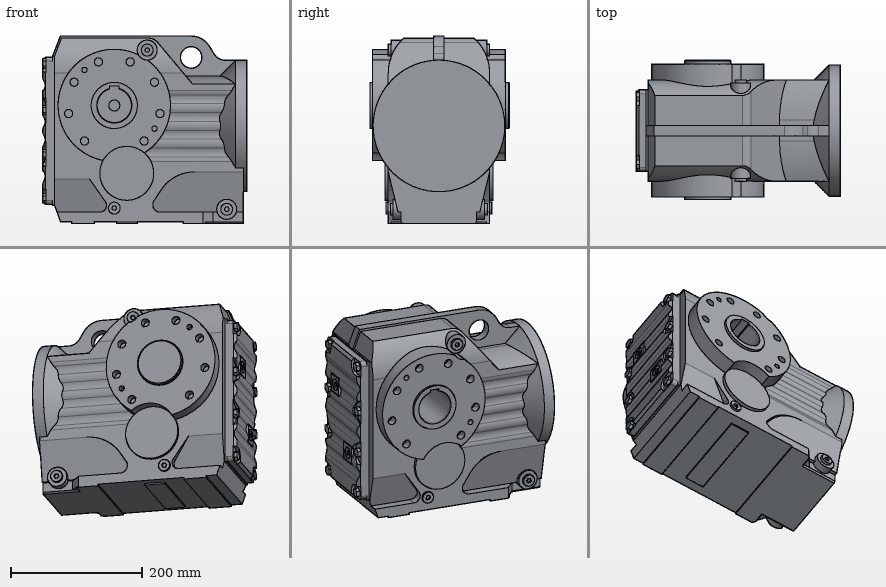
import cadquery as cq
import math


SIDE_Y = 77.3
LEFT_X = -91.0
RIGHT_X = 197.0
BASE_Z = -177.5
ROOF_Z = 102.5
ROOF_LEFT_X = -80.7
LEFT_WALL_TOP_Z = 75.5
LEFT_WALL_BOTTOM_Z = -152.5
BASE_LEFT_X = -82.0
ROOF_HALF_Y = 53.5
SHOULDER_Z = 49.5
ROOF_RIGHT_X = 60.7
ROOF_BEND_R = 17.5
ROOF_SLOPE = 50.0
NECK_START_X = 31.0
NECK_TOP_Z = 44.5
NECK_EDGE_Z = 32.5
NECK_FLAT_Y = 16.0

WEB_HALF_Y = 8.0
WEB_TOP_Z = 106.0
WEB_LEFT_X = -94.0
WEB_TOP_LEFT_X = -82.2
WEB_FOOT_Z = 0.0
EYE_X, EYE_Z, EYE_R = 117.0, 73.2, 16.2
EYE_OUTER_R = WEB_TOP_Z - EYE_Z
EYE_SLOPE = 59.0
WEB_CORNER_R = 20.0

INPUT_Z = -31.0
FLANGE_R = 100.3
FLANGE_X = 185.0
FLANGE_END_X = 202.2
CONE_SMALL_R = 68.5

DISC_R = 85.7
DISC_Y = 101.2
BOLT_CIRCLE_R = 70.7
BOLT_HOLE_R, BOLT_HOLE_DEPTH = 6.2, 15.5
BOLT_COUNT = 8
BOLT_SPACING = 360 / (BOLT_COUNT + 1)
BOLT_START_ANGLE = -90 + BOLT_SPACING
PIN_HOLE_R, PIN_HOLE_DEPTH = 4.0, 12.5
PIN_ANGLES = (130, 330)
SHAFT_R = 35.2
SHAFT_FRONT_Y = -105.3
SHAFT_BACK_Y = 107.8
SHAFT_CHAMFER = 1.5
BORE_R = 26.2
BORE_MOUTH_R, BORE_MOUTH_DEPTH = 26.8, 2.2
BORE_END_Y = 93.5
CENTRE_HOLE_R, CENTRE_HOLE_DEPTH = 8.5, 6.2
KEY_WIDTH, KEY_TOP_Z = 14.0, 29.3
CAP_X, CAP_Z, CAP_R, CAP_Y = 19.0, -103.5, 41.0, 82.5

PLUG_R, SOCKET_R, SOCKET_DEPTH = 9.0, 3.7, 3.0
PLUG_SEAT_R = 15.3
PLUG_HEIGHT = 4.5
SEATED_PLUGS = ((50.0, 84.5, 73.0), (171.3, -158.2, 69.8))
DRAIN_PLUG = (0.0, -156.5)
DRAIN_PLUG_Y = 80.7

POCKET_FLOOR_Y = 62.3
POCKET_BOTTOM_Z = -162.5
LEFT_POCKET_CORNER_R = 10.3
RIGHT_POCKET_CORNER_R = 11.2
LEFT_POCKET_TOP_Z = -112.0
LEFT_POCKET_TOP_X = -37.7
LEFT_POCKET_TIP_X = -2.5
RIGHT_POCKET_TOP_Z = -101.2
RIGHT_POCKET_TOP_X = 89.0
RIGHT_POCKET_TIP_X = 49.2
RIGHT_POCKET_TOP_R = 61.0
FOOT_Z = -180.0
LEFT_FOOT = (-65.0, -30.2)
MIDDLE_FOOT = (3.7, 35.2)
RIGHT_FOOT_X = 105.0
MIDDLE_FOOT_HALF_Y = 62.3
FOOT_NOTCH_START_X = 135.2
FOOT_NOTCH_FULL_X = 150.0
FOOT_NOTCH_Y = 57.5
FOOT_BEVEL_X = 139.0

NECK_WAVES, NECK_WAVE_PITCH, NECK_WAVE_DEPTH = 4, 27.0, 2.8
NECK_WAVE_START_X = 18.7
COVER_WAVES, COVER_WAVE_PITCH, COVER_WAVE_DEPTH = 6, 27.7, 3.7

COVER_Z = -38.5
COVER_FACE_X = -109.3
COVER_BACK_X = WEB_LEFT_X
COVER_HALF_Y, COVER_HALF_Z = 62.3, 112.5
COVER_CORNER_R = 6.2
COVER_BEVEL = 4.5
GASKET_HALF_Z = 114.0
BOLT_SEAT_X = -104.0
BOLT_SEAT_R = 13.0
BOLT_HEX_R = 7.5
CORNER_BOLT_Y, CORNER_BOLT_Z = 51.5, 102.8
BACK_MIDDLE_BOLT_Y, FRONT_MIDDLE_BOLT_Y = 54.2, -55.8
MIDDLE_BOLT_Z = (-7.2, -74.5)
SEAT_FLARE = 30.0
COVER_PLUGS = ((23.5, 8.7), (-23.7, -86.0))
COVER_PAD_SIZE = 28.5
COVER_PLUG_DROP = 0.47

CLEAR = 15.5


def box(x, y, z):
    """Box spanning the three (low, high) ranges."""
    size = (x[1] - x[0], y[1] - y[0], z[1] - z[0])
    return cq.Workplane("XY").box(*size, centered=False).translate((x[0], y[0], z[0]))


def rod_y(x, z, radius, y0, y1):
    """Cylinder along Y."""
    return cq.Workplane("XZ", origin=(x, y0, z)).circle(radius).extrude(y0 - y1)


def rod_x(y, z, radius, x0, x1):
    """Cylinder along X."""
    return cq.Workplane("YZ", origin=(x0, y, z)).circle(radius).extrude(x1 - x0)


def hex_x(y, z, radius, x0, x1):
    """Hexagonal prism along X with a corner pointing up."""
    hexagon = cq.Workplane("YZ", origin=(x0, y, z)).polygon(6, 2 * radius)
    return hexagon.extrude(x1 - x0).rotate((0, y, z), (1, y, z), 90)


def with_mirror(shape):
    """The shape on the -Y side together with its copy on the +Y side."""
    return shape.union(shape.mirror("XZ"))


def wave_tool(plane, waves, pitch, depth, length):
    """Prism filling the grooves below a line of peaks.

    Local X of the plane points into the material and local Y runs up along the row of waves.
    """
    tool = cq.Workplane(plane).moveTo(0, 0)
    quarter = pitch / 4
    half_depth = depth / 2
    radius = (quarter ** 2 + half_depth ** 2) / depth
    middle = quarter / 2
    bulge = radius - math.sqrt(radius ** 2 - middle ** 2)
    for i in range(waves):
        start = i * pitch
        valley = start + 2 * quarter
        end = start + pitch
        tool = tool.threePointArc((bulge, start + middle), (half_depth, start + quarter))
        tool = tool.threePointArc((depth, valley), (half_depth, end - quarter))
        tool = tool.threePointArc((bulge, end - middle), (0, end))
    return tool.lineTo(-CLEAR, waves * pitch).lineTo(-CLEAR, 0).close().extrude(length)


def make_main_body():
    """Housing with a sloping roof and rounded shoulders."""
    slope_end_x = ROOF_RIGHT_X + (ROOF_Z - NECK_EDGE_Z) / math.tan(math.radians(ROOF_SLOPE))
    profile = (
        cq.Workplane("XZ", origin=(0, SIDE_Y, 0))
        .moveTo(BASE_LEFT_X, BASE_Z)
        .lineTo(LEFT_X, LEFT_WALL_BOTTOM_Z)
        .lineTo(LEFT_X, LEFT_WALL_TOP_Z)
        .lineTo(ROOF_LEFT_X, ROOF_Z)
        .lineTo(ROOF_RIGHT_X, ROOF_Z)
        .lineTo(slope_end_x, NECK_EDGE_Z)
        .lineTo(slope_end_x, BASE_Z)
        .close()
        .extrude(2 * SIDE_Y)
        .edges(cq.selectors.NearestToPointSelector((ROOF_RIGHT_X, 0, ROOF_Z)))
        .fillet(ROOF_BEND_R)
    )
    run = SIDE_Y - ROOF_HALF_Y
    rise = ROOF_Z - SHOULDER_Z
    shoulder_r = (run ** 2 + rise ** 2) / (2 * run)
    half_angle = math.asin(rise / shoulder_r) / 2
    mid_y = SIDE_Y - shoulder_r * (1 - math.cos(half_angle))
    mid_z = SHOULDER_Z + shoulder_r * math.sin(half_angle)
    section = (
        cq.Workplane("YZ", origin=(LEFT_X, 0, 0))
        .moveTo(-SIDE_Y, BASE_Z)
        .lineTo(-SIDE_Y, SHOULDER_Z)
        .threePointArc((-mid_y, mid_z), (-ROOF_HALF_Y, ROOF_Z))
        .lineTo(ROOF_HALF_Y, ROOF_Z)
        .threePointArc((mid_y, mid_z), (SIDE_Y, SHOULDER_Z))
        .lineTo(SIDE_Y, BASE_Z)
        .close()
        .extrude(RIGHT_X - LEFT_X)
    )
    return profile.intersect(section)


def make_neck():
    """Part of the housing leading to the input flange, with a slightly arched top."""
    run = SIDE_Y - NECK_FLAT_Y
    drop = NECK_TOP_Z - NECK_EDGE_Z
    arch_r = (run ** 2 + drop ** 2) / (2 * drop)
    mid_y = NECK_FLAT_Y + run / 2
    mid_z = NECK_TOP_Z - arch_r + math.sqrt(arch_r ** 2 - (run / 2) ** 2)
    return (
        cq.Workplane("YZ", origin=(NECK_START_X, 0, 0))
        .moveTo(-SIDE_Y, BASE_Z)
        .lineTo(-SIDE_Y, NECK_EDGE_Z)
        .threePointArc((-mid_y, mid_z), (-NECK_FLAT_Y, NECK_TOP_Z))
        .lineTo(NECK_FLAT_Y, NECK_TOP_Z)
        .threePointArc((mid_y, mid_z), (SIDE_Y, NECK_EDGE_Z))
        .lineTo(SIDE_Y, BASE_Z)
        .close()
        .extrude(RIGHT_X - NECK_START_X)
    )


def make_neck_grooves():
    """Grooves that leave wavy ribs on both sides of the neck."""
    bottom_z = INPUT_Z - NECK_WAVES * NECK_WAVE_PITCH / 2
    side = cq.Plane(origin=(NECK_WAVE_START_X, -SIDE_Y, bottom_z), xDir=(0, 1, 0), normal=(1, 0, 0))
    length = FLANGE_X - NECK_WAVE_START_X
    return with_mirror(wave_tool(side, NECK_WAVES, NECK_WAVE_PITCH, NECK_WAVE_DEPTH, length))


def make_web():
    """Central web with the lifting eye."""
    slope = math.radians(EYE_SLOPE)
    flange_top_z = INPUT_Z + FLANGE_R
    arc_mid = (EYE_X + EYE_OUTER_R * math.sin(slope / 2), EYE_Z + EYE_OUTER_R * math.cos(slope / 2))
    arc_end = (EYE_X + EYE_OUTER_R * math.sin(slope), EYE_Z + EYE_OUTER_R * math.cos(slope))
    corner_z = flange_top_z + WEB_CORNER_R
    slope_end_z = corner_z - WEB_CORNER_R * math.cos(slope)
    slope_end_x = arc_end[0] + (arc_end[1] - slope_end_z) / math.tan(slope)
    corner_x = slope_end_x + WEB_CORNER_R * math.sin(slope)
    corner_mid = (
        corner_x - WEB_CORNER_R * math.sin(slope / 2),
        corner_z - WEB_CORNER_R * math.cos(slope / 2),
    )
    web = (
        cq.Workplane("XZ", origin=(0, WEB_HALF_Y, 0))
        .moveTo(WEB_LEFT_X, WEB_FOOT_Z)
        .lineTo(WEB_LEFT_X, LEFT_WALL_TOP_Z)
        .lineTo(WEB_TOP_LEFT_X, WEB_TOP_Z)
        .lineTo(EYE_X, WEB_TOP_Z)
        .threePointArc(arc_mid, arc_end)
        .lineTo(slope_end_x, slope_end_z)
        .threePointArc(corner_mid, (corner_x, flange_top_z))
        .lineTo(FLANGE_X, flange_top_z)
        .lineTo(FLANGE_X, WEB_FOOT_Z)
        .close()
        .extrude(2 * WEB_HALF_Y)
    )
    return web.cut(rod_y(EYE_X, EYE_Z, EYE_R, -CLEAR, CLEAR))


def make_input_flange():
    """Round flange with a 45 degree cone behind it."""
    flange = rod_x(0, INPUT_Z, FLANGE_R, FLANGE_X, FLANGE_END_X)
    cone_length = FLANGE_R - CONE_SMALL_R
    cone = cq.Solid.makeCone(
        CONE_SMALL_R, FLANGE_R, cone_length,
        pnt=cq.Vector(FLANGE_X - cone_length, 0, INPUT_Z), dir=cq.Vector(1, 0, 0),
    )
    return flange.union(cq.Workplane(obj=cone))


def make_pocket(outline, corner_radii, top_z):
    """Pocket in the -Y side face whose floor leans inwards from the top edge to the bottom."""
    prism = cq.Workplane("XZ", origin=(0, -POCKET_FLOOR_Y, 0)).polyline(outline).close().extrude(SIDE_Y)
    for (x, z), radius in corner_radii:
        corner = cq.selectors.NearestToPointSelector((x, -POCKET_FLOOR_Y - SIDE_Y / 2, z))
        prism = prism.edges(corner).fillet(radius)
    lean = (
        cq.Workplane("YZ", origin=(LEFT_X, 0, 0))
        .polyline([
            (-SIDE_Y, top_z),
            (-POCKET_FLOOR_Y, POCKET_BOTTOM_Z),
            (-SIDE_Y - CLEAR, POCKET_BOTTOM_Z),
            (-SIDE_Y - CLEAR, top_z),
        ])
        .close()
        .extrude(RIGHT_X - LEFT_X)
    )
    return prism.intersect(lean)


def make_pockets():
    """Left and right pockets on both side faces."""
    left_tip = (LEFT_POCKET_TIP_X, POCKET_BOTTOM_Z)
    left = make_pocket(
        [
            (LEFT_X, LEFT_POCKET_TOP_Z),
            (LEFT_POCKET_TOP_X, LEFT_POCKET_TOP_Z),
            left_tip,
            (LEFT_X, POCKET_BOTTOM_Z),
        ],
        [(left_tip, LEFT_POCKET_CORNER_R)],
        LEFT_POCKET_TOP_Z,
    )
    right_tip = (RIGHT_POCKET_TIP_X, POCKET_BOTTOM_Z)
    right_top = (RIGHT_POCKET_TOP_X, RIGHT_POCKET_TOP_Z)
    right = make_pocket(
        [
            (RIGHT_X, RIGHT_POCKET_TOP_Z),
            right_top,
            right_tip,
            (RIGHT_X, POCKET_BOTTOM_Z),
        ],
        [(right_tip, RIGHT_POCKET_CORNER_R), (right_top, RIGHT_POCKET_TOP_R)],
        RIGHT_POCKET_TOP_Z,
    )
    return with_mirror(left.union(right))


def make_feet():
    """Low pads under the housing."""
    full_width = (-SIDE_Y, SIDE_Y)
    height = (FOOT_Z, BASE_Z)
    feet = box(LEFT_FOOT, full_width, height)
    feet = feet.union(box(MIDDLE_FOOT, (-MIDDLE_FOOT_HALF_Y, MIDDLE_FOOT_HALF_Y), height))
    return feet.union(box((RIGHT_FOOT_X, RIGHT_X), full_width, height))


def make_foot_notches():
    """Set-back of the right foot below the pocket, and the bevel along its lower edge."""
    notch = (
        cq.Workplane("XY", origin=(0, 0, FOOT_Z))
        .polyline([
            (FOOT_NOTCH_START_X, -SIDE_Y),
            (FOOT_NOTCH_FULL_X, -FOOT_NOTCH_Y),
            (RIGHT_X, -FOOT_NOTCH_Y),
            (RIGHT_X, -SIDE_Y),
        ])
        .close()
        .extrude(POCKET_BOTTOM_Z - FOOT_Z)
    )
    foot_height = BASE_Z - FOOT_Z
    bevel = (
        cq.Workplane("YZ", origin=(FOOT_BEVEL_X, 0, 0))
        .polyline([
            (-SIDE_Y, BASE_Z),
            (-FOOT_NOTCH_Y, BASE_Z),
            (-FOOT_NOTCH_Y + foot_height, FOOT_Z),
            (-SIDE_Y, FOOT_Z),
        ])
        .close()
        .extrude(RIGHT_X - FOOT_BEVEL_X)
    )
    return with_mirror(notch.union(bevel))


def on_bolt_circle(degrees):
    """Point (x, z) on the bolt circle."""
    angle = math.radians(degrees)
    return BOLT_CIRCLE_R * math.cos(angle), BOLT_CIRCLE_R * math.sin(angle)


def make_bearing_flanges():
    """Round flanges on both sides, relieved around the round cap."""
    discs = rod_y(0, 0, DISC_R, -DISC_Y, DISC_Y)
    relief = rod_y(CAP_X, CAP_Z, CAP_R, -DISC_Y, -CAP_Y)
    for i in range(BOLT_COUNT):
        x, z = on_bolt_circle(BOLT_START_ANGLE + i * BOLT_SPACING)
        relief = relief.union(rod_y(x, z, BOLT_HOLE_R, -DISC_Y, -DISC_Y + BOLT_HOLE_DEPTH))
    for angle in PIN_ANGLES:
        x, z = on_bolt_circle(angle)
        relief = relief.union(rod_y(x, z, PIN_HOLE_R, -DISC_Y, -DISC_Y + PIN_HOLE_DEPTH))
    return discs.cut(with_mirror(relief))


def make_bore():
    """Keyed bore with a slightly flared mouth, open at the -Y end, with a small centre hole in its floor."""
    bore = rod_y(0, 0, BORE_R, SHAFT_FRONT_Y, BORE_END_Y)
    keyway = box((-KEY_WIDTH / 2, KEY_WIDTH / 2), (SHAFT_FRONT_Y, BORE_END_Y), (0, KEY_TOP_Z))
    centre_hole = rod_y(0, 0, CENTRE_HOLE_R, BORE_END_Y, BORE_END_Y + CENTRE_HOLE_DEPTH)
    mouth = cq.Solid.makeCone(
        BORE_MOUTH_R, BORE_R, BORE_MOUTH_DEPTH,
        pnt=cq.Vector(0, SHAFT_FRONT_Y, 0), dir=cq.Vector(0, 1, 0),
    )
    return bore.union(cq.Workplane(obj=mouth)).union(keyway).union(centre_hole)


def make_side_plug(x, z, face_y):
    """Screw plug on the -Y side with a hexagon socket."""
    socket = cq.Workplane("XZ", origin=(x, -face_y + SOCKET_DEPTH, z)).polygon(6, 2 * SOCKET_R)
    return rod_y(x, z, PLUG_R, -face_y, 0).cut(socket.extrude(SOCKET_DEPTH))


def make_spot_faces():
    """Flat clearings in front of the plug seats."""
    clearings = cq.Workplane("XY")
    for x, z, seat_y in SEATED_PLUGS:
        clearings = clearings.add(rod_y(x, z, PLUG_SEAT_R, -DISC_Y, -seat_y))
    return with_mirror(clearings.combine())


def make_side_plugs():
    """All screw plugs of the two side faces with their round seats."""
    plugs = make_side_plug(*DRAIN_PLUG, DRAIN_PLUG_Y)
    for x, z, seat_y in SEATED_PLUGS:
        plugs = plugs.union(rod_y(x, z, PLUG_SEAT_R, -seat_y, 0))
        plugs = plugs.union(make_side_plug(x, z, seat_y + PLUG_HEIGHT))
    return with_mirror(plugs)


def make_corner_seat(y_sign, z_sign):
    """Recess around a corner bolt, open to both cover edges."""
    y = y_sign * CORNER_BOLT_Y
    z = COVER_Z + z_sign * CORNER_BOLT_Z
    depth = (COVER_FACE_X, BOLT_SEAT_X)
    y_edges = sorted((y, y_sign * (COVER_HALF_Y + CLEAR)))
    z_edges = sorted((z, COVER_Z + z_sign * (COVER_HALF_Z + CLEAR)))
    seat = rod_x(y, z, BOLT_SEAT_R, *depth)
    seat = seat.union(box(depth, y_edges, (z - BOLT_SEAT_R, z + BOLT_SEAT_R)))
    return seat.union(box(depth, (y - BOLT_SEAT_R, y + BOLT_SEAT_R), z_edges))


def make_middle_seat(y, z):
    """Recess around an edge bolt, flaring out towards the cover edge."""
    outward = math.copysign(1, y)
    flare = math.radians(SEAT_FLARE)
    tangent_y = y - outward * BOLT_SEAT_R * math.sin(flare)
    tangent_z = BOLT_SEAT_R * math.cos(flare)
    edge_y = outward * (COVER_HALF_Y + CLEAR)
    edge_z = tangent_z + abs(edge_y - tangent_y) * math.tan(flare)
    flared = (
        cq.Workplane("YZ", origin=(COVER_FACE_X, 0, z))
        .polyline([
            (tangent_y, tangent_z),
            (edge_y, edge_z),
            (edge_y, -edge_z),
            (tangent_y, -tangent_z),
        ])
        .close()
        .extrude(BOLT_SEAT_X - COVER_FACE_X)
    )
    return flared.union(rod_x(y, z, BOLT_SEAT_R, COVER_FACE_X, BOLT_SEAT_X))


def make_bolt(y, z):
    """Hexagon bolt head, level with the cover face."""
    return hex_x(y, z, BOLT_HEX_R, COVER_FACE_X, COVER_BACK_X)


def make_cover():
    """Ribbed end cover with its bolts and two screw plugs."""
    cover = (
        box((COVER_FACE_X, COVER_BACK_X), (-COVER_HALF_Y, COVER_HALF_Y),
            (COVER_Z - COVER_HALF_Z, COVER_Z + COVER_HALF_Z))
        .edges("|X").fillet(COVER_CORNER_R)
        .faces("<X").chamfer(COVER_BEVEL)
    )
    wave_bottom_z = COVER_Z - COVER_WAVES * COVER_WAVE_PITCH / 2
    face = cq.Plane(origin=(COVER_FACE_X, COVER_HALF_Y, wave_bottom_z), xDir=(1, 0, 0), normal=(0, -1, 0))
    waves = wave_tool(face, COVER_WAVES, COVER_WAVE_PITCH, COVER_WAVE_DEPTH, 2 * COVER_HALF_Y)
    cover = cover.cut(waves)

    half_pad = COVER_PAD_SIZE / 2
    for y, z in COVER_PLUGS:
        depth = (COVER_FACE_X, COVER_BACK_X)
        cover = cover.union(box(depth, (y - half_pad, y + half_pad), (z - half_pad, z + half_pad)))
        cover = cover.cut(rod_x(y, z, PLUG_R, COVER_FACE_X, COVER_FACE_X + COVER_PLUG_DROP))
        cover = cover.cut(hex_x(y, z, SOCKET_R, COVER_FACE_X, COVER_FACE_X + SOCKET_DEPTH))

    corner_bolts = [(y_sign, z_sign) for y_sign in (-1, 1) for z_sign in (-1, 1)]
    for y_sign, z_sign in corner_bolts:
        cover = cover.cut(make_corner_seat(y_sign, z_sign))
        cover = cover.union(make_bolt(y_sign * CORNER_BOLT_Y, COVER_Z + z_sign * CORNER_BOLT_Z))
    for y in (BACK_MIDDLE_BOLT_Y, FRONT_MIDDLE_BOLT_Y):
        for z in MIDDLE_BOLT_Z:
            cover = cover.cut(make_middle_seat(y, z))
            cover = cover.union(make_bolt(y, z))
    return cover


gasket = box((COVER_BACK_X, LEFT_X), (-COVER_HALF_Y, COVER_HALF_Y),
             (COVER_Z - GASKET_HALF_Z, COVER_Z + GASKET_HALF_Z))
hollow_shaft = rod_y(0, 0, SHAFT_R, SHAFT_FRONT_Y, SHAFT_BACK_Y).faces(">Y").chamfer(SHAFT_CHAMFER)

result = (
    make_main_body()
    .union(make_neck())
    .cut(make_neck_grooves())
    .union(make_feet())
    .cut(make_pockets())
    .cut(make_foot_notches())
    .union(make_web())
    .union(make_input_flange())
    .union(make_bearing_flanges())
    .union(rod_y(CAP_X, CAP_Z, CAP_R, -CAP_Y, CAP_Y))
    .union(hollow_shaft)
    .cut(make_bore())
    .cut(make_spot_faces())
    .union(make_side_plugs())
    .union(gasket)
    .union(make_cover())
)